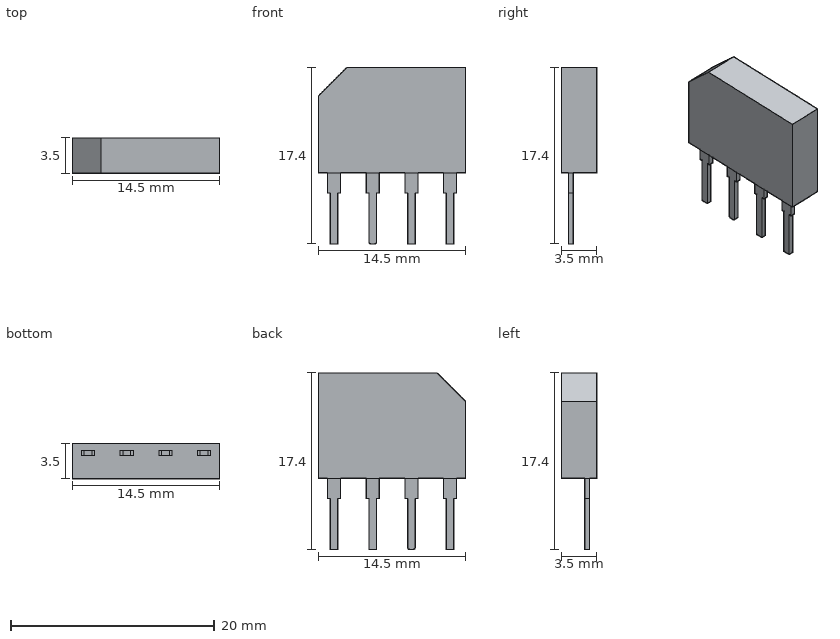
import cadquery as cq


body_width = 14.5
body_depth = 3.5
body_height = 10.4
corner_bevel = 2.8

lead_count = 4
lead_pitch = 3.81
lead_length = 7.0
lead_thickness = 0.5
lead_front_gap = 0.7
shoulder_width = 1.3
shoulder_length = 2.0
pin_width = 0.76
rounded_lead_index = 1
tip_radius = 0.2


def make_body():
    """Block with the upper corner on the -X side cut away."""
    block = cq.Workplane("XY").box(body_width, body_depth, body_height, centered=(True, False, False))
    return block.edges("<X and >Z").chamfer(corner_bevel)


def make_lead(x_center):
    """Flat lead: a wide shoulder below the block, then a narrow pin."""
    half_shoulder = shoulder_width / 2
    half_pin = pin_width / 2
    lead_front = cq.Workplane("XZ", origin=(x_center, lead_front_gap, 0))
    outline = lead_front.polyline(
        [
            (-half_shoulder, 0),
            (half_shoulder, 0),
            (half_shoulder, -shoulder_length),
            (half_pin, -shoulder_length),
            (half_pin, -lead_length),
            (-half_pin, -lead_length),
            (-half_pin, -shoulder_length),
            (-half_shoulder, -shoulder_length),
        ]
    ).close()
    return outline.extrude(-lead_thickness)


def round_tip(lead):
    """Round the two lower corners of a lead, seen from the front."""
    return lead.faces("<Z").edges("|Y").fillet(tip_radius)


result = make_body()
for index in range(lead_count):
    lead_x = (index - (lead_count - 1) / 2) * lead_pitch
    lead = make_lead(lead_x)
    if index == rounded_lead_index:
        lead = round_tip(lead)
    result = result.union(lead)